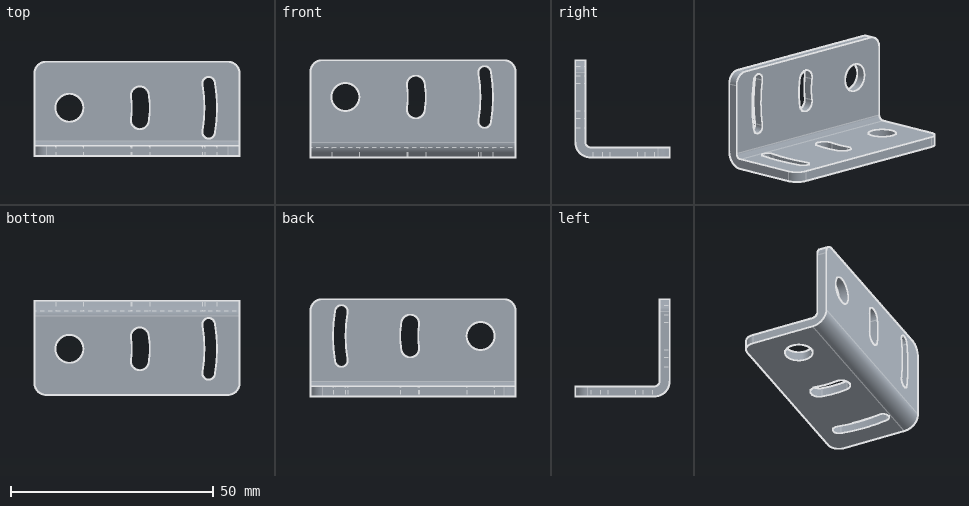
import cadquery as cq
import math

length = 50.8
base_depth = 23.35
wall_height = 24.15
thickness = 2.55
inner_bend_radius = 1.25
outer_bend_radius = inner_bend_radius + thickness
corner_radius = 3.0

pivot_x = 8.7
pivot_diameter = 6.85
pivot_height_on_wall = 15.0
pivot_depth_on_base = 11.95
slot_half_angle = 10.0
slots = [(17.7, 4.35), (34.95, 3.05)]


def bent_sheet():
    """L-shaped sheet with a rounded bend along the front lower edge."""
    block = cq.Workplane("XY").box(length, base_depth, wall_height, centered=False)
    block = block.edges("|X and <Y and <Z").fillet(outer_bend_radius)
    inside = (
        cq.Workplane("XY")
        .box(length, base_depth - thickness, wall_height - thickness, centered=False)
        .translate((0, thickness, thickness))
        .edges("|X and <Y and <Z")
        .fillet(inner_bend_radius)
    )
    sheet = block.cut(inside)
    sheet = sheet.edges("|Y and >Z").fillet(corner_radius)
    return sheet.edges("|Z and >Y").fillet(corner_radius)


def polar_point(radius, angle):
    """Point at an angle in degrees about the pivot."""
    radians = math.radians(angle)
    return radius * math.cos(radians), radius * math.sin(radians)


def curved_slot(plane, radius, width):
    """Cutter for a round-ended slot following an arc about the pivot."""
    inner = radius - width / 2
    outer = radius + width / 2
    end_x, end_y = polar_point(radius, slot_half_angle)
    bulge_x, bulge_y = polar_point(width / 2, slot_half_angle + 90)
    tip_x = end_x + bulge_x
    tip_y = end_y + bulge_y
    return (
        cq.Workplane(plane)
        .moveTo(*polar_point(inner, -slot_half_angle))
        .threePointArc((inner, 0), polar_point(inner, slot_half_angle))
        .threePointArc((tip_x, tip_y), polar_point(outer, slot_half_angle))
        .threePointArc((outer, 0), polar_point(outer, -slot_half_angle))
        .threePointArc((tip_x, -tip_y), polar_point(inner, -slot_half_angle))
        .close()
        .extrude(thickness)
    )


def cut_openings(body, plane):
    """Cut the pivot hole and curved slots through one flange."""
    body = body.cut(cq.Workplane(plane).circle(pivot_diameter / 2).extrude(thickness))
    for radius, width in slots:
        body = body.cut(curved_slot(plane, radius, width))
    return body


wall_plane = cq.Plane(
    origin=(pivot_x, thickness, pivot_height_on_wall), xDir=(1, 0, 0), normal=(0, -1, 0)
)
base_plane = cq.Plane(
    origin=(pivot_x, pivot_depth_on_base, 0), xDir=(1, 0, 0), normal=(0, 0, 1)
)

result = bent_sheet()
for flange_plane in (wall_plane, base_plane):
    result = cut_openings(result, flange_plane)